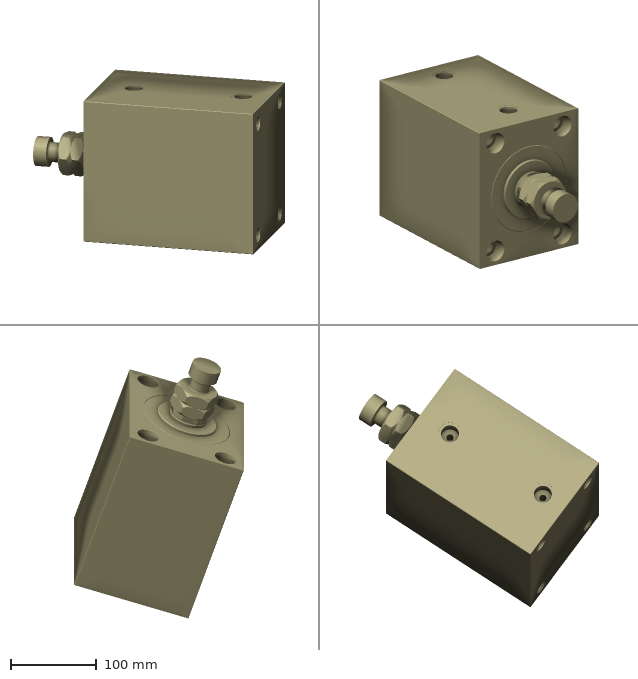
import cadquery as cq
import math


overall_length = 280.0

block_length = 205.0
block_width = 140.0
block_height = 170.0
rear_wall = 22.5
block_edge_chamfer = 0.5

mount_spacing_y = 95.0
mount_spacing_z = 135.0
mount_diameter = 17.5
mount_counterbore_diameter = 25.5
mount_counterbore_depth = 17.5

port_positions = (42.0, 174.0)
port_spotface_diameter = 28.0
port_spotface_depth = 0.3
port_diameter = 21.0
port_depth = 13.0
port_pilot_diameter = 8.5

gland_diameter = 106.5
gland_length = 42.8
gland_chamfer = 0.8
collar_diameter = 72.2
collar_length = 3.0
collar_chamfer = 0.8

rod_diameter = 45.0
rod_shoulder_x = -6.7
rod_shoulder_chamfer = 0.8
wrench_diameter = 44.0
wrench_across_flats = 40.0

coupling_length = 60.5
head_diameter = 35.0
head_length = 15.7
neck_diameter = 23.2
neck_fillet = 2.0
hex_across_flats = 46.0
hex_width = 14.5
hex_count = 2

bore_length = block_length - rear_wall
front_x = block_length - overall_length
coupling_rear_x = front_x + coupling_length
hex_front_x = coupling_rear_x - hex_count * hex_width
hex_corner_radius = hex_across_flats / math.sqrt(3)
hex_chamfer = hex_corner_radius - hex_across_flats / 2


def axial_cylinder(diameter, start_x, end_x):
    """Cylinder around the X axis between two X positions."""
    start_plane = cq.Plane(origin=(start_x, 0, 0), xDir=(0, 0, 1), normal=(1, 0, 0))
    return cq.Workplane(start_plane).circle(diameter / 2).extrude(end_x - start_x)


def port_cutter(port_x):
    """Spotface, threaded bore and pilot hole of one port, reaching into the cylinder bore."""
    top = cq.Workplane("XY", origin=(port_x, 0, block_height / 2))
    spotface = top.circle(port_spotface_diameter / 2).extrude(-port_spotface_depth)
    port = top.circle(port_diameter / 2).extrude(-port_depth)
    pilot = top.circle(port_pilot_diameter / 2).extrude(-block_height / 2)
    return spotface.union(port).union(pilot)


def make_block():
    block = (
        cq.Workplane("XY")
        .box(block_length, block_width, block_height, centered=(False, True, True))
    )
    block = block.edges("|X").chamfer(block_edge_chamfer)
    mount_holes = (
        block.faces("<X").workplane(centerOption="CenterOfBoundBox")
        .rarray(mount_spacing_y, mount_spacing_z, 2, 2)
    )
    block = mount_holes.cboreHole(mount_diameter, mount_counterbore_diameter, mount_counterbore_depth)
    for port_x in port_positions:
        block = block.cut(port_cutter(port_x))
    bore = axial_cylinder(gland_diameter, 0, bore_length)
    return block.cut(bore)


def make_gland():
    gland = axial_cylinder(gland_diameter, 0, gland_length).faces("<X").chamfer(gland_chamfer)
    collar = axial_cylinder(collar_diameter, -collar_length, gland_length).faces("<X").chamfer(collar_chamfer)
    rod_hole = axial_cylinder(rod_diameter, -collar_length, gland_length)
    return gland.union(collar).cut(rod_hole)


def make_rod():
    rod = axial_cylinder(rod_diameter, rod_shoulder_x, bore_length).faces("<X").chamfer(rod_shoulder_chamfer)
    wrench_end = axial_cylinder(wrench_diameter, coupling_rear_x, rod_shoulder_x)
    wrench_square = (
        cq.Workplane("YZ", origin=(coupling_rear_x, 0, 0))
        .rect(wrench_across_flats, wrench_across_flats)
        .extrude(rod_shoulder_x - coupling_rear_x)
    )
    return rod.union(wrench_end.intersect(wrench_square))


def make_hexagon(start_x):
    """Hexagon with corners on the Y axis, its corners chamfered at both ends."""
    prism = (
        cq.Workplane("YZ", origin=(start_x, 0, 0))
        .polygon(6, 2 * hex_corner_radius)
        .extrude(hex_width)
    )
    envelope = axial_cylinder(2 * hex_corner_radius, start_x, start_x + hex_width)
    envelope = envelope.faces("<X or >X").chamfer(hex_chamfer)
    return prism.intersect(envelope)


def make_coupling():
    head_radius = head_diameter / 2
    neck_radius = neck_diameter / 2
    fillet_radius = neck_radius + neck_fillet
    head_back_x = front_x + head_length
    fillet_mid_offset = neck_fillet * (1 - math.sqrt(0.5))
    coupling = (
        cq.Workplane("XZ")
        .moveTo(front_x, 0)
        .lineTo(front_x, head_radius)
        .lineTo(head_back_x, head_radius)
        .lineTo(head_back_x, fillet_radius)
        .threePointArc(
            (head_back_x + fillet_mid_offset, neck_radius + fillet_mid_offset),
            (head_back_x + neck_fillet, neck_radius),
        )
        .lineTo(hex_front_x - neck_fillet, neck_radius)
        .threePointArc(
            (hex_front_x - fillet_mid_offset, neck_radius + fillet_mid_offset),
            (hex_front_x, fillet_radius),
        )
        .lineTo(hex_front_x, 0)
        .close()
        .revolve(360, (0, 0, 0), (1, 0, 0))
    )
    for index in range(hex_count):
        coupling = coupling.union(make_hexagon(hex_front_x + index * hex_width))
    return coupling


block = make_block()
gland = make_gland()
rod = make_rod()
coupling = make_coupling()

result = cq.Compound.makeCompound([block.val(), gland.val(), rod.val(), coupling.val()])